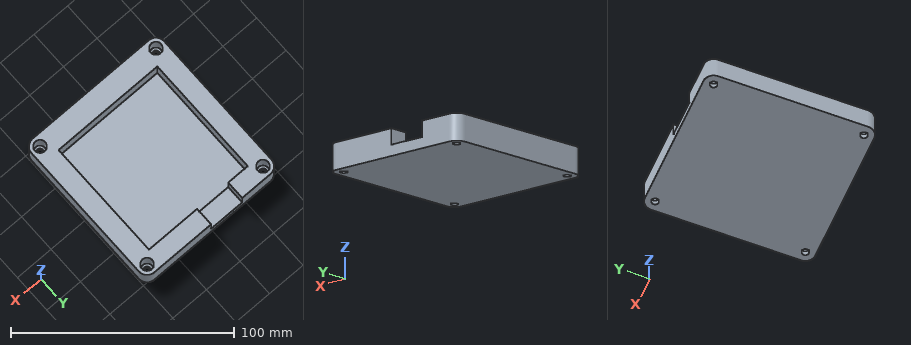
import cadquery as cq

width = 79.0
length = 82.7
height = 13.0
corner_radius = 5.0

pocket_width = 58.8
pocket_length = 61.45
back_wall = 9.5
floor_thickness = 2.0
pocket_depth = height - floor_thickness

notch_width = 18.5
notch_center_x = -8.5
notch_depth = 7.7

hole_diameter = 3.4
counterbore_diameter = 6.0
counterbore_depth = 10.0
hole_spacing_x = width - 2 * corner_radius
hole_spacing_y = length - 2 * corner_radius


def make_block():
    block = cq.Workplane("XY").box(width, length, height, centered=(True, True, False))
    return block.edges("|Z").fillet(corner_radius)


def cut_from_top(body, size_x, size_y, center_x, center_y, depth):
    """Remove a rectangular recess of the given depth from the top face."""
    recess = (
        cq.Workplane("XY", origin=(center_x, center_y, height))
        .rect(size_x, size_y)
        .extrude(-depth)
    )
    return body.cut(recess)


def add_screw_holes(body):
    return (
        body.faces(">Z")
        .workplane(origin=(0, 0, height))
        .rect(hole_spacing_x, hole_spacing_y, forConstruction=True)
        .vertices()
        .cboreHole(hole_diameter, counterbore_diameter, counterbore_depth)
    )


pocket_center_y = length / 2 - back_wall - pocket_length / 2
notch_center_y = length / 2 - back_wall / 2

result = make_block()
result = cut_from_top(result, pocket_width, pocket_length, 0, pocket_center_y, pocket_depth)
result = cut_from_top(result, notch_width, back_wall, notch_center_x, notch_center_y, notch_depth)
result = add_screw_holes(result)